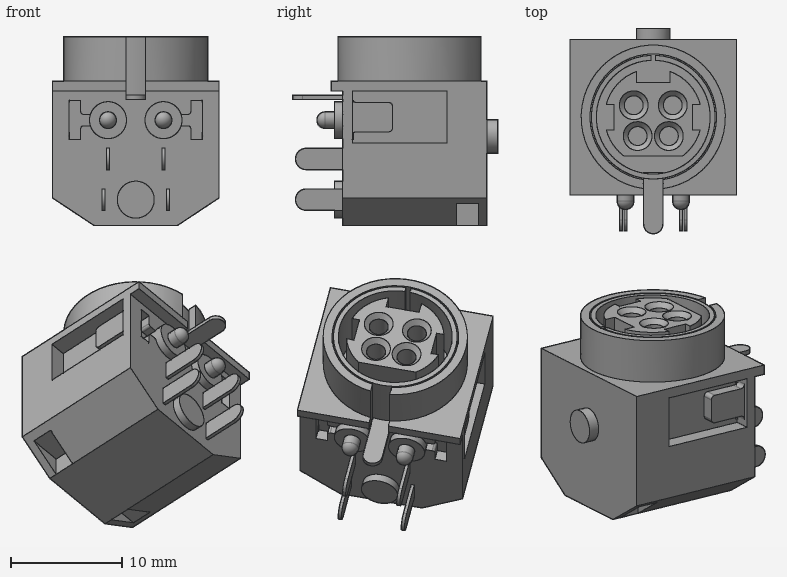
import cadquery as cq


HOUSING_WIDTH = 15.0
BODY_HEIGHT = 13.0
BODY_BACK_Y = 7.0
BODY_FRONT_Y = -6.0
BODY_DEPTH = BODY_BACK_Y - BODY_FRONT_Y
PLATE_FRONT_Y = -7.03
PLATE_THICKNESS = 0.9
PLATE_UNDERSIDE_Z = BODY_HEIGHT - PLATE_THICKNESS
CHAMFER_TOP_Z = 2.48
BOTTOM_WIDTH = 7.51

TOTAL_HEIGHT = 17.0
COLLAR_RADIUS = 6.5
CAVITY_RADIUS = 5.7
CAVITY_FLOOR_Z = 11.34

CORE_RADIUS = 4.38
CORE_FLAT_Y = -3.5
BACK_KEY_WIDTH = 3.03
BACK_KEY_FLOOR_Y = 3.1
SIDE_KEY_WIDTH = 2.31
SIDE_KEY_FLOOR_X = 3.55

CONTACT_HOLE_RADIUS = 0.85
CONTACT_CHAMFER = 0.45
BACK_CONTACT_X = 1.75
BACK_CONTACT_Y = 1.07
FRONT_CONTACT_X = 1.4
FRONT_CONTACT_Y = -1.7

SHIELD_OUTER_RADIUS = 5.57
SHIELD_INNER_RADIUS = 5.12
SHIELD_SLIT_WIDTH = 0.45
TAB_WIDTH = 1.75
TAB_THICKNESS = 0.4
TAB_ROOT_Y = -5.0
TAB_TIP_Y = -10.5

POCKET_DEPTH = 1.54
POCKET_BACK_Y = 3.42
POCKET_FRONT_Y = -5.12
POCKET_BOTTOM_Z = 7.42
LATCH_BACK_Y = -1.5
LATCH_BOTTOM_Z = 8.44
LATCH_TOP_Z = 11.08
LATCH_THICKNESS = 1.13
LATCH_RADIUS = 0.37

T_OUTER_X = 6.01
T_INNER_X = 4.95
T_BOTTOM_Z = 7.75
T_TOP_Z = 11.27
T_NECK_WIDTH = 1.04
T_DEPTH = 1.0
T_FILLET = 0.25

STANDOFF_RADIUS = 1.66
STANDOFF_HEIGHT = 0.74
UPPER_STANDOFF_X = 2.5
UPPER_STANDOFF_Z = 9.49
LOWER_STANDOFF_Z = 2.33
PEG_RADIUS = 0.75
PEG_STRAIGHT_LENGTH = 0.83
BACK_BOSS_RADIUS = 1.52
BACK_BOSS_Z = 8.01
BACK_BOSS_HEIGHT = 1.0

BLADE_WIDTH = 1.95
BLADE_THICKNESS = 0.3
BLADE_LENGTH = 4.25
UPPER_BLADE_X = 2.5
UPPER_BLADE_Z = 6.0
LOWER_BLADE_X = 2.9
LOWER_BLADE_Z = 2.33

NOTCH_HEIGHT = 2.0
NOTCH_LENGTH = 1.98
NOTCH_CENTER_Y = 5.24

SIDES = (-1, 1)


def box(x_range, y_range, z_range):
    """Axis-aligned box between the given pairs of limits."""
    sizes = [high - low for low, high in (x_range, y_range, z_range)]
    corner = (x_range[0], y_range[0], z_range[0])
    return cq.Workplane("XY", origin=corner).box(*sizes, centered=False)


def rod_along_y(x, z, radius, y_start, y_end):
    """Cylinder parallel to Y that starts at y_start and ends at y_end, in front of it."""
    return cq.Workplane("XZ", origin=(x, y_start, z)).circle(radius).extrude(y_start - y_end)


def socket_cylinder(radius):
    """Cylinder on the socket axis from the cavity floor to the top."""
    plane = cq.Workplane("XY", origin=(0, 0, CAVITY_FLOOR_Z))
    return plane.circle(radius).extrude(TOTAL_HEIGHT - CAVITY_FLOOR_Z)


def both_sides(left):
    """A left-hand feature together with its mirror image on the right."""
    return left.union(left.mirror("YZ"))


def block():
    """Body with a sloping bottom, and the plate that overhangs its front."""
    half_width = HOUSING_WIDTH / 2
    half_bottom = BOTTOM_WIDTH / 2
    outline = [
        (-half_bottom, 0),
        (half_bottom, 0),
        (half_width, CHAMFER_TOP_Z),
        (half_width, BODY_HEIGHT),
        (-half_width, BODY_HEIGHT),
        (-half_width, CHAMFER_TOP_Z),
    ]
    front_plane = cq.Workplane("XZ", origin=(0, BODY_BACK_Y, 0))
    body = front_plane.polyline(outline).close().extrude(BODY_DEPTH)
    plate = box(
        (-half_width, half_width),
        (PLATE_FRONT_Y, BODY_BACK_Y),
        (PLATE_UNDERSIDE_Z, BODY_HEIGHT),
    )
    return body.union(plate)


def core():
    """Core with a flat at the front and key notches at the back and both sides."""
    flat_cut = box(
        (-CORE_RADIUS, CORE_RADIUS),
        (-CORE_RADIUS, CORE_FLAT_Y),
        (CAVITY_FLOOR_Z, TOTAL_HEIGHT),
    )
    back_key = box(
        (-BACK_KEY_WIDTH / 2, BACK_KEY_WIDTH / 2),
        (BACK_KEY_FLOOR_Y, CORE_RADIUS),
        (CAVITY_FLOOR_Z, TOTAL_HEIGHT),
    )
    left_key = box(
        (-CORE_RADIUS, -SIDE_KEY_FLOOR_X),
        (-SIDE_KEY_WIDTH / 2, SIDE_KEY_WIDTH / 2),
        (CAVITY_FLOOR_Z, TOTAL_HEIGHT),
    )
    return socket_cylinder(CORE_RADIUS).cut(flat_cut).cut(back_key).cut(both_sides(left_key))


def contact_holes():
    """Four countersunk holes, as deep as the socket cavity."""
    centers = []
    for side in SIDES:
        centers.append((side * BACK_CONTACT_X, BACK_CONTACT_Y))
        centers.append((side * FRONT_CONTACT_X, FRONT_CONTACT_Y))
    plane = cq.Workplane("XY", origin=(0, 0, CAVITY_FLOOR_Z)).pushPoints(centers)
    bores = plane.circle(CONTACT_HOLE_RADIUS).extrude(TOTAL_HEIGHT - CAVITY_FLOOR_Z)
    for x, y in centers:
        countersink = cq.Solid.makeCone(
            CONTACT_HOLE_RADIUS,
            CONTACT_HOLE_RADIUS + CONTACT_CHAMFER,
            CONTACT_CHAMFER,
            pnt=cq.Vector(x, y, TOTAL_HEIGHT - CONTACT_CHAMFER),
        )
        bores = bores.union(cq.Workplane(countersink))
    return bores


def tab_slot():
    """Slot through the collar and plate that lets the ground tab out at the front."""
    return box(
        (-TAB_WIDTH / 2, TAB_WIDTH / 2),
        (PLATE_FRONT_Y, TAB_ROOT_Y),
        (CAVITY_FLOOR_Z, TOTAL_HEIGHT),
    )


def side_pocket():
    """Left pocket, reaching up to the underside of the plate."""
    outer_x = -HOUSING_WIDTH / 2
    return box(
        (outer_x, outer_x + POCKET_DEPTH),
        (POCKET_FRONT_Y, POCKET_BACK_Y),
        (POCKET_BOTTOM_Z, PLATE_UNDERSIDE_Z),
    )


def latch():
    """Left latch on the pocket floor: rounded at its free end, flared at its root."""
    floor_x = -HOUSING_WIDTH / 2 + POCKET_DEPTH
    flare_y = POCKET_FRONT_Y + LATCH_RADIUS
    round_y = LATCH_BACK_Y - LATCH_RADIUS
    return (
        cq.Workplane("YZ", origin=(floor_x, 0, 0))
        .moveTo(POCKET_FRONT_Y, LATCH_BOTTOM_Z - LATCH_RADIUS)
        .radiusArc((flare_y, LATCH_BOTTOM_Z), LATCH_RADIUS)
        .lineTo(round_y, LATCH_BOTTOM_Z)
        .radiusArc((LATCH_BACK_Y, LATCH_BOTTOM_Z + LATCH_RADIUS), -LATCH_RADIUS)
        .lineTo(LATCH_BACK_Y, LATCH_TOP_Z - LATCH_RADIUS)
        .radiusArc((round_y, LATCH_TOP_Z), -LATCH_RADIUS)
        .lineTo(flare_y, LATCH_TOP_Z)
        .radiusArc((POCKET_FRONT_Y, LATCH_TOP_Z + LATCH_RADIUS), LATCH_RADIUS)
        .close()
        .extrude(-LATCH_THICKNESS)
    )


def t_slot():
    """Left T-shaped slot whose neck runs up to the upper stand-off."""
    slot_y = (BODY_FRONT_Y, BODY_FRONT_Y + T_DEPTH)
    half_neck = T_NECK_WIDTH / 2
    bar = box((-T_OUTER_X, -T_INNER_X), slot_y, (T_BOTTOM_Z, T_TOP_Z))
    neck = box(
        (-T_INNER_X, -UPPER_STANDOFF_X),
        slot_y,
        (UPPER_STANDOFF_Z - half_neck, UPPER_STANDOFF_Z + half_neck),
    )
    corner_edges = cq.selectors.BoxSelector(
        (-T_INNER_X - T_FILLET, slot_y[0] - T_FILLET, UPPER_STANDOFF_Z - T_NECK_WIDTH),
        (-T_INNER_X + T_FILLET, slot_y[1] + T_FILLET, UPPER_STANDOFF_Z + T_NECK_WIDTH),
    )
    return bar.union(neck).edges("|Y").edges(corner_edges).fillet(T_FILLET)


def bottom_notch():
    """Left notch in the sloping face, ending in a wall above the edge of the bottom."""
    return box(
        (-HOUSING_WIDTH / 2, -BOTTOM_WIDTH / 2),
        (NOTCH_CENTER_Y - NOTCH_LENGTH / 2, NOTCH_CENTER_Y + NOTCH_LENGTH / 2),
        (0, NOTCH_HEIGHT),
    )


def upper_standoff():
    """Left stand-off, rooted at the floor of the T slot, with its round-nosed peg."""
    face_y = BODY_FRONT_Y - STANDOFF_HEIGHT
    nose_y = face_y - PEG_STRAIGHT_LENGTH
    x = -UPPER_STANDOFF_X
    z = UPPER_STANDOFF_Z
    standoff = rod_along_y(x, z, STANDOFF_RADIUS, BODY_FRONT_Y + T_DEPTH, face_y)
    peg = rod_along_y(x, z, PEG_RADIUS, face_y, nose_y)
    nose = cq.Workplane("XY", origin=(x, nose_y, z)).sphere(PEG_RADIUS)
    return standoff.union(peg).union(nose)


def blade(x, z):
    """Flat upright solder blade with a fully rounded tip."""
    half_width = BLADE_WIDTH / 2
    tip_y = BODY_FRONT_Y - BLADE_LENGTH
    round_y = tip_y + half_width
    return (
        cq.Workplane("YZ", origin=(x - BLADE_THICKNESS / 2, 0, z))
        .moveTo(BODY_FRONT_Y, -half_width)
        .lineTo(round_y, -half_width)
        .threePointArc((tip_y, 0), (round_y, half_width))
        .lineTo(BODY_FRONT_Y, half_width)
        .close()
        .extrude(BLADE_THICKNESS)
    )


def make_housing():
    """Housing with its socket, stand-offs and solder blades, as one solid."""
    collar_plane = cq.Workplane("XY", origin=(0, 0, BODY_HEIGHT))
    collar = collar_plane.circle(COLLAR_RADIUS).extrude(TOTAL_HEIGHT - BODY_HEIGHT)
    solid = block().union(collar).cut(socket_cylinder(CAVITY_RADIUS)).cut(tab_slot())
    solid = solid.union(core()).cut(contact_holes())

    solid = solid.cut(both_sides(side_pocket())).union(both_sides(latch()))
    solid = solid.cut(both_sides(t_slot())).cut(both_sides(bottom_notch()))

    standoff_face_y = BODY_FRONT_Y - STANDOFF_HEIGHT
    solid = solid.union(both_sides(upper_standoff()))
    solid = solid.union(rod_along_y(0, LOWER_STANDOFF_Z, STANDOFF_RADIUS, BODY_FRONT_Y, standoff_face_y))
    back_boss_y = BODY_BACK_Y + BACK_BOSS_HEIGHT
    solid = solid.union(rod_along_y(0, BACK_BOSS_Z, BACK_BOSS_RADIUS, back_boss_y, BODY_BACK_Y))

    for side in SIDES:
        solid = solid.union(blade(side * UPPER_BLADE_X, UPPER_BLADE_Z))
        solid = solid.union(blade(side * LOWER_BLADE_X, LOWER_BLADE_Z))
    return solid


def make_shield():
    """Slit sleeve standing on the cavity floor, with a ground tab that starts inside its wall."""
    half_tab = TAB_WIDTH / 2
    sleeve = socket_cylinder(SHIELD_OUTER_RADIUS).cut(socket_cylinder(SHIELD_INNER_RADIUS))
    slit = box(
        (-SHIELD_SLIT_WIDTH / 2, SHIELD_SLIT_WIDTH / 2),
        (0, SHIELD_OUTER_RADIUS),
        (CAVITY_FLOOR_Z, TOTAL_HEIGHT),
    )
    round_y = TAB_TIP_Y + half_tab
    tab = (
        cq.Workplane("XY", origin=(0, 0, CAVITY_FLOOR_Z))
        .moveTo(-half_tab, TAB_ROOT_Y)
        .lineTo(-half_tab, round_y)
        .threePointArc((0, TAB_TIP_Y), (half_tab, round_y))
        .lineTo(half_tab, TAB_ROOT_Y)
        .close()
        .extrude(TAB_THICKNESS)
    )
    return sleeve.cut(slit).union(tab)


housing = make_housing()
shield = make_shield()

result = cq.Compound.makeCompound([housing.val(), shield.val()])